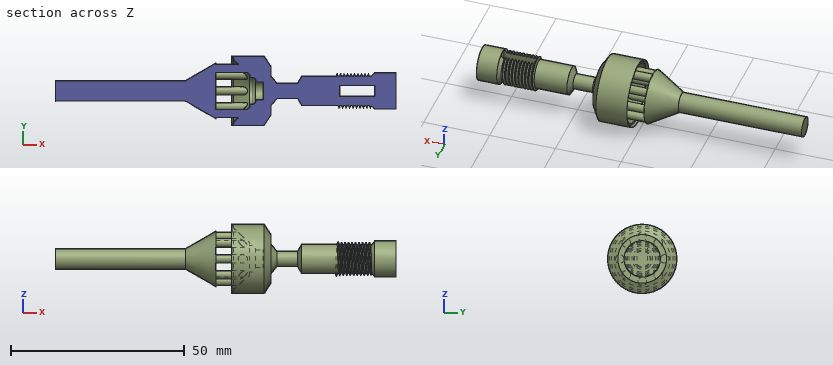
import cadquery as cq


shaft_diameter = 6.0
shaft_length = 37.5
front_cone_diameter = 16.1
front_cone_end = 46.2

collar_diameter = 20.0
collar_start = 50.7
collar_taper_start = 60.1
collar_end = 62.1
collar_back_diameter = 14.0

collar_edge_width = 0.1
ledge_x = 51.3
ledge_outer_diameter = 18.8
cavity_mouth_diameter = 17.8
cavity_floor = 55.9
cavity_floor_diameter = 9.4
bore_diameter = 7.6
bore_floor = 57.6
bore_corner_radius = 1.0
centre_hole_diameter = 5.0
centre_hole_end = 59.8

pin_count = 8
pin_diameter = 2.5
pin_circle_radius = 6.5

neck_diameter = 4.5
neck_cone_diameter = 8.5
neck_start = 63.7
grip_diameter = 8.5
grip_chamfer_start = 69.7
grip_start = 70.9

head_diameter = 10.5
head_start = 91.9
total_length = 98.0
thread_diameter = 10.0
thread_length = 10.0
thread_start = 80.9
thread_turns = 10
thread_pitch = thread_length / thread_turns
thread_root_width = 0.9
thread_root_overlap = 0.2
slot_start = 81.9
slot_width = 3.0


def turned(profile):
    """Revolve an outline of (x, radius) points about the X axis."""
    return cq.Workplane("XY").polyline(profile).close().revolve(360, (0, 0, 0), (1, 0, 0))


def make_front():
    return turned([
        (0, 0),
        (0, shaft_diameter / 2),
        (shaft_length, shaft_diameter / 2),
        (front_cone_end, front_cone_diameter / 2),
        (front_cone_end, 0),
    ])


def make_pins():
    """Ring of pins from the front cone into the conical wall of the collar cavity."""
    return (
        cq.Workplane("YZ", origin=(front_cone_end, 0, 0))
        .polarArray(pin_circle_radius, 0, 360, pin_count)
        .circle(pin_diameter / 2)
        .extrude(cavity_floor - front_cone_end)
    )


def make_rear():
    """Collar, neck, grip, thread core and head as one turned body."""
    head_cone_length = (head_diameter - grip_diameter) / 2
    return turned([
        (collar_start, 0),
        (collar_start, collar_diameter / 2),
        (collar_taper_start, collar_diameter / 2),
        (collar_end, collar_back_diameter / 2),
        (collar_end, neck_cone_diameter / 2),
        (neck_start, neck_diameter / 2),
        (grip_chamfer_start, neck_diameter / 2),
        (grip_start, grip_diameter / 2),
        (head_start - head_cone_length, grip_diameter / 2),
        (head_start, head_diameter / 2),
        (total_length, head_diameter / 2),
        (total_length, 0),
    ])


def make_cavity():
    """Stepped hollow that opens at the front of the collar."""
    cone = turned([
        (collar_start, 0),
        (collar_start, collar_diameter / 2 - collar_edge_width),
        (ledge_x, ledge_outer_diameter / 2),
        (ledge_x, cavity_mouth_diameter / 2),
        (cavity_floor, cavity_floor_diameter / 2),
        (cavity_floor, 0),
    ])
    bore = (
        cq.Workplane("YZ", origin=(cavity_floor, 0, 0))
        .circle(bore_diameter / 2)
        .extrude(bore_floor - cavity_floor)
        .faces(">X")
        .edges()
        .fillet(bore_corner_radius)
    )
    centre_hole = (
        cq.Workplane("YZ", origin=(cavity_floor, 0, 0))
        .circle(centre_hole_diameter / 2)
        .extrude(centre_hole_end - cavity_floor)
    )
    return cone.union(bore).union(centre_hole)


def make_thread():
    """Right-handed ridge, starting on the -Z side of the core."""
    root_radius = grip_diameter / 2 - thread_root_overlap
    path = cq.Wire.makeHelix(thread_pitch, thread_length, root_radius)
    ridge = (
        cq.Workplane("XZ")
        .polyline([
            (root_radius, -thread_root_width / 2),
            (thread_diameter / 2, 0),
            (root_radius, thread_root_width / 2),
        ])
        .close()
        .sweep(cq.Workplane(path), isFrenet=True)
    )
    return ridge.rotate((0, 0, 0), (0, 1, 0), 90).translate((thread_start, 0, 0))


def make_slot():
    """Slot through the threaded stretch along Z, ending at the head."""
    return (
        cq.Workplane("XY")
        .box(head_start - slot_start, slot_width, head_diameter, centered=(False, True, True))
        .translate((slot_start, 0, 0))
    )


rear = make_rear().union(make_thread()).cut(make_slot()).cut(make_cavity())
result = rear.union(make_pins()).union(make_front())